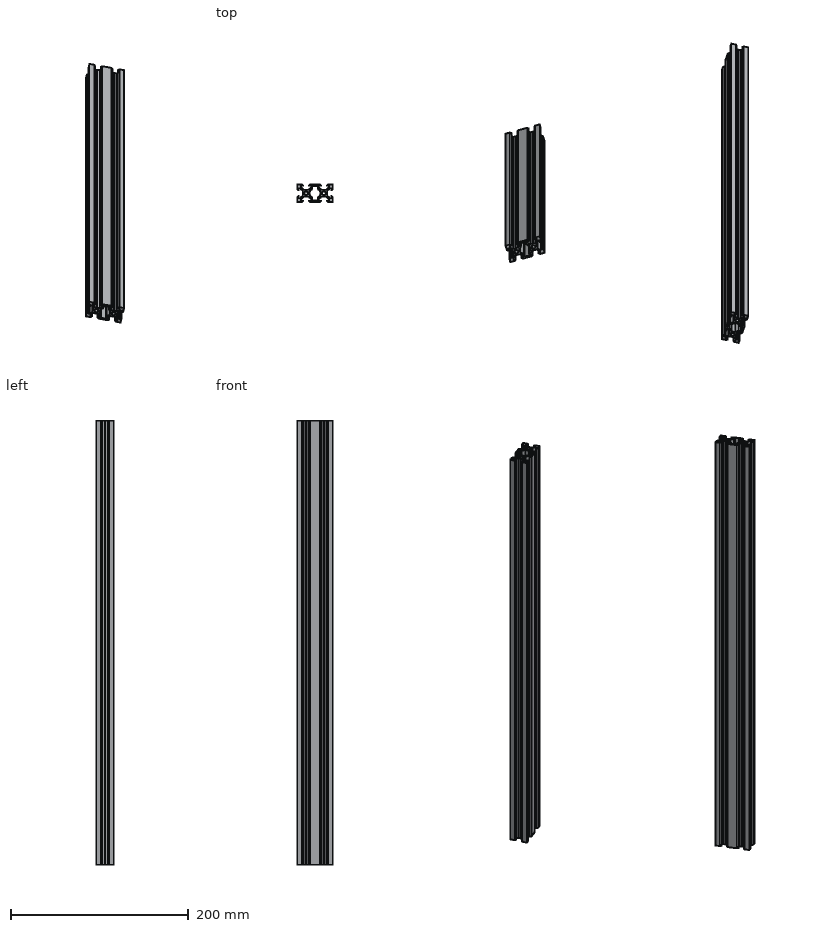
import cadquery as cq

cell = 20.0
length = 500.0
half_cell = cell / 2

mouth_half = 4.75
throat_half = 3.1
lip_depth = mouth_half - throat_half
lip_thickness = 1.8
chamber_half = 5.5
floor_half = 2.85
floor_depth = 6.0
groove_half = 0.5
groove_depth = 0.5

bore_diameter = 4.0

cavity_roof_half = 2.5
cavity_shoulder_half = 3.0
cavity_waist_half = 6.0
cavity_wall = 2.0
cavity_knee = 5.0


def mirrored(points):
    """Mirror an outline in X = 0, reversing it so that it joins end to end."""
    return [(-x, y) for x, y in reversed(points)]


def extrude_outline(points):
    """Full-length prism over a closed outline."""
    return cq.Workplane("XY").polyline(points).close().extrude(length)


def slot_cutter():
    """V-slot with its mouth at Y = 0 and a centring groove along its floor."""
    shoulder_depth = floor_depth - (chamber_half - floor_half)
    right_side = [
        (mouth_half, 0),
        (throat_half, -lip_depth),
        (throat_half, -lip_thickness),
        (chamber_half, -lip_thickness),
        (chamber_half, -shoulder_depth),
        (floor_half, -floor_depth),
        (groove_half, -floor_depth),
    ]
    groove_bottom = [(0, -floor_depth - groove_depth)]
    return extrude_outline(right_side + groove_bottom + mirrored(right_side))


def cavity_cutter():
    """Passage through the middle, narrow at the roof and widest between the cores."""
    roof = half_cell - cavity_wall
    shoulder_drop = cavity_shoulder_half - cavity_roof_half
    shoulder = roof - shoulder_drop
    waist = cavity_knee - (cavity_waist_half - cavity_shoulder_half)
    upper = [
        (cavity_roof_half, roof),
        (cavity_shoulder_half, shoulder),
        (cavity_shoulder_half, cavity_knee),
        (cavity_waist_half, waist),
    ]
    lower = [(x, -y) for x, y in reversed(upper)]
    right_side = upper + lower
    return extrude_outline(right_side + mirrored(right_side))


result = cq.Workplane("XY").box(2 * cell, cell, length, centered=(True, True, False))
result = result.cut(cavity_cutter())

for side in (-1, 1):
    core_x = side * half_cell
    for angle in (0, 180, -90 * side):
        slot = slot_cutter().translate((0, half_cell, 0))
        slot = slot.rotate((0, 0, 0), (0, 0, 1), angle)
        result = result.cut(slot.translate((core_x, 0, 0)))
    bore = cq.Workplane("XY").center(core_x, 0).circle(bore_diameter / 2).extrude(length)
    result = result.cut(bore)